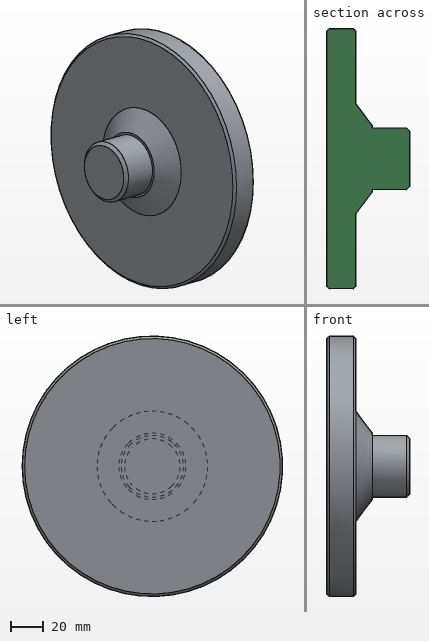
import cadquery as cq

total_length = 51.0
disc_diameter = 160.0
disc_thickness = 18.0
disc_chamfer = 1.6
cone_base_diameter = 67.8
cone_tip_diameter = 41.0
cone_length = 10.0
hub_diameter = 38.0
hub_chamfer = 2.0


def cylinder(diameter, start, end):
    """Cylinder along X between two axial positions."""
    return cq.Workplane("YZ").workplane(offset=start).circle(diameter / 2).extrude(end - start)


disc = cylinder(disc_diameter, 0, disc_thickness).edges().chamfer(disc_chamfer)

cone_end = disc_thickness + cone_length
cone = (
    cq.Workplane("XY")
    .moveTo(disc_thickness, 0)
    .lineTo(disc_thickness, cone_base_diameter / 2)
    .lineTo(cone_end, cone_tip_diameter / 2)
    .lineTo(cone_end, 0)
    .close()
    .revolve(360, (0, 0, 0), (1, 0, 0))
)

hub = cylinder(hub_diameter, disc_thickness, total_length).faces(">X").edges().chamfer(hub_chamfer)

result = disc.union(cone).union(hub)